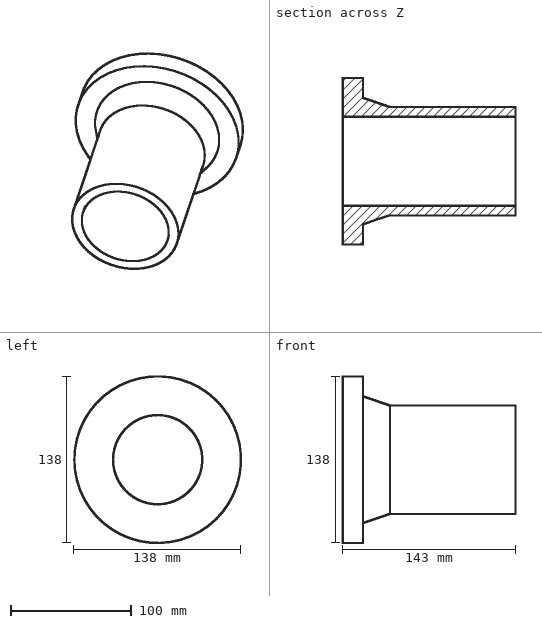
import cadquery as cq

total_length = 143.0
flange_diameter = 138.0
flange_thickness = 17.0
pipe_diameter = 90.0
wall_thickness = 8.2
neck_root_diameter = 105.0
neck_end = 39.0

flange_radius = flange_diameter / 2
pipe_radius = pipe_diameter / 2
bore_radius = pipe_radius - wall_thickness
neck_root_radius = neck_root_diameter / 2


def make_stub_flange():
    """Revolve the half section (X along the axis, Y as radius) about the X axis."""
    half_section = (
        cq.Workplane("XY")
        .moveTo(0, bore_radius)
        .lineTo(0, flange_radius)
        .lineTo(flange_thickness, flange_radius)
        .lineTo(flange_thickness, neck_root_radius)
        .lineTo(neck_end, pipe_radius)
        .lineTo(total_length, pipe_radius)
        .lineTo(total_length, bore_radius)
        .close()
    )
    axis_start = (0, 0, 0)
    axis_end = (1, 0, 0)
    return half_section.revolve(360, axis_start, axis_end)


result = make_stub_flange()